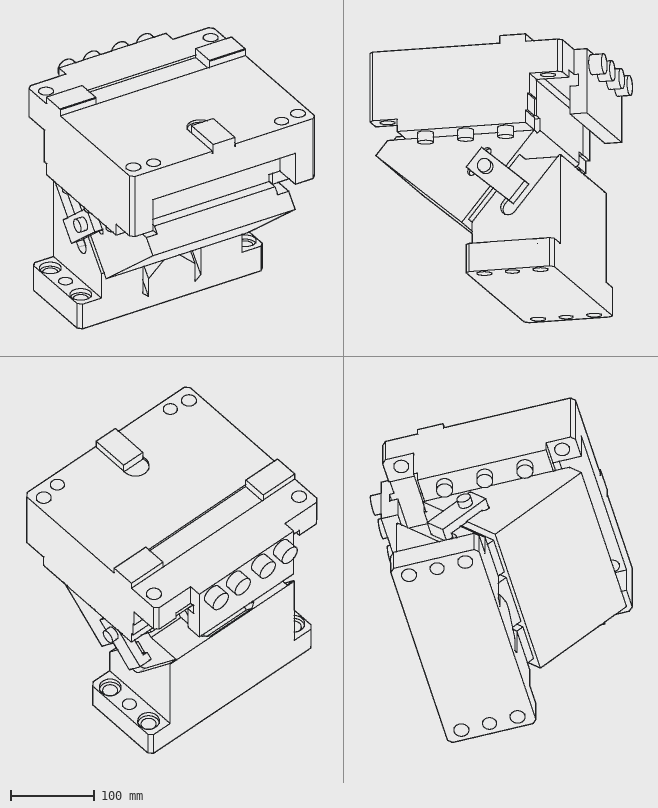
import cadquery as cq
import math

WIDTH = 260.0
CORNER_CHAMFER = 5.0
HALF_SLIDE = 100.0

BASE_LENGTH = 110.0
BASE_TOP = 145.0
BASE_HALF_WIDTH = 98.8
FLANGE_HEIGHT = 35.0
SLOPE_ANGLE = 50.0
SLOPE_FOOT_Z = 69.5
BASE_HOLE_Y = 115.5
BASE_HOLE_SPACING = 70.0
BASE_HOLE_RADIUS = 9.0
BASE_BORE_RADIUS = 13.0
BASE_BORE_DEPTH = 5.8
BASE_DOWEL_RADIUS = 8.5

CHANNEL_HALF_WIDTH = 40.7
CHANNEL_WALL_DEPTH = 30.0
CHANNEL_DEPTH = 34.7
VEE_HALF_WIDTH = 32.7
VEE_FLAT_HALF_WIDTH = 5.8
VEE_RIDGE_DEPTH = 3.0
VEE_ANGLE = 30.0
VEE_MALE_END = 111.8
VEE_FEMALE_END = 101.5

PLATE_THICKNESS = 9.8
PLATE_INNER_Y = 41.0
PLATE_OUTER_Y = 88.5

HOOK_S_MIN = 47.5
HOOK_S_MAX = 77.5
HOOK_N_MIN = -24.9
HOOK_N_MAX = 45.0
HOOK_OUTER_Y = 110.7
HOOK_TONGUE_Y = 92.8
HOOK_SLOT_WIDTH = 19.7
HOOK_SLOT_END = 41.0
SIDE_RECESS_Y = PLATE_OUTER_Y
RELIEF_RADIUS = 5.0
HOOK_PIN_RADIUS = 8.5
HOOK_PIN_S = 62.0
HOOK_PIN_N = 24.9
HOOK_PIN_END_Y = 120.0

SLIDE_FRONT_X = 29.8
SLIDE_OVERRUN = 8.0
SLIDE_TIP_X = 230.0
SHOULDER_Z = 177.2
NECK_HALF_WIDTH = 84.7
NECK_STEP_Z = 185.0
HEAD_BOTTOM_Z = 194.8
HEAD_TOP_Z = 238.7
RELIEF_NOTCH_INNER_Y = 19.5
RELIEF_NOTCH_TOP_Z = 158.7
RELIEF_NOTCH_FILLET = 3.0

HOLDER_FRONT_X = -10.0
HOLDER_END_X = 230.0
HOLDER_TOP_Z = 279.8
OVERHANG_Z = 240.0
OVERHANG_RECESS_Z = 248.8
OVERHANG_RECESS_HALF_WIDTH = 98.0
SIDE_STEP_Z = 215.5
SIDE_STEP_DEPTH = 2.3
RETAINER_START_X = 34.7
RETAINER_END_X = 194.8
RETAINER_BOTTOM_Z = 179.5
RETAINER_INNER_Y = 90.0
SCREW_BOTTOM_Z = 168.0
SCREW_RADIUS = 9.5
SCREW_Y = 114.2
SCREW_FIRST_X = 64.0
SCREW_PITCH = 50.0
SCREW_COUNT = 3

STOP_FRONT_X = -26.0
STOP_NECK_X = -15.5
STOP_FOOT_X = -5.2
STOP_BOTTOM_Z = 200.3
STOP_FOOT_TOP_Z = 234.7
STOP_HALF_WIDTH = 75.0
BOLT_END_X = -42.0
BOLT_RADIUS = 12.0
BOLT_Z = 264.7
BOLT_Y = (-55.0, -20.0, 20.0, 55.0)

KEY_TOP_Z = 289.0
KEYWAY_DEPTH = 3.5
CROSS_KEYWAY_START_X = RETAINER_START_X
CROSS_KEYWAY_END_X = 66.8
CROSS_KEY_CHAMFER = 1.0
CROSS_KEY_LENGTH = 50.3
END_KEY_START_X = 180.0
END_KEY_HALF_WIDTH = 15.3
END_KEYWAY_RADIUS = 16.2
END_KEYWAY_START_X = 159.5
MOUNT_HOLE_X = (10.5, 210.7)
MOUNT_HOLE_Y = 115.5
MOUNT_HOLE_RADIUS = 9.0
DOWEL_X = 215.3
DOWEL_Y = 90.0
DOWEL_RADIUS = 8.5

SIN = math.sin(math.radians(SLOPE_ANGLE))
COS = math.cos(math.radians(SLOPE_ANGLE))
SLOPE_LENGTH = (BASE_TOP - SLOPE_FOOT_Z) / SIN
VEE_SHOULDER_DEPTH = VEE_RIDGE_DEPTH + (
    (VEE_HALF_WIDTH - VEE_FLAT_HALF_WIDTH) * math.tan(math.radians(VEE_ANGLE))
)
FAR = 289.0


def block(x0, x1, y0, y1, z0, z1):
    """Box given by its limits along X, Y and Z."""
    return cq.Workplane().box(x1 - x0, y1 - y0, z1 - z0, centered=False).translate((x0, y0, z0))


def side_profile(points, y0, y1):
    """Closed XZ outline extruded from y0 to y1."""
    return cq.Workplane("XZ", origin=(0, y0, 0)).polyline(points).close().extrude(y0 - y1)


def on_slope(s, n):
    """XZ point a distance s up the sliding slope and a height n above it."""
    return (BASE_LENGTH - s * COS + n * SIN, SLOPE_FOOT_Z + s * SIN + n * COS)


def slope_block(s0, s1, n0, n1, y0, y1):
    """Box aligned with the sliding slope."""
    corners = [on_slope(s0, n0), on_slope(s1, n0), on_slope(s1, n1), on_slope(s0, n1)]
    return side_profile(corners, y0, y1)


def slope_cylinder(s, n, radius, y0, y1):
    """Cylinder along Y, centred on a slope point."""
    return cq.Workplane("XZ", origin=(0, y0, 0)).center(*on_slope(s, n)).circle(radius).extrude(y0 - y1)


def slope_section(half_outline, s0, s1):
    """(y, n) outline, mirrored about y = 0 and extruded along the slope from s0 to s1."""
    x, z = on_slope(s0, 0)
    plane = cq.Plane(origin=(x, 0, z), xDir=(0, -1, 0), normal=(-COS, 0, SIN))
    mirrored = [(-y, n) for y, n in reversed(half_outline)]
    return cq.Workplane(plane).polyline(half_outline + mirrored).close().extrude(s1 - s0)


def upright_cylinder(x, y, radius, z0, z1):
    return cq.Workplane("XY", origin=(x, y, z0)).circle(radius).extrude(z1 - z0)


def both_sides(shape):
    """The shape together with its mirror image about the XZ plane."""
    return shape.union(shape.mirror("XZ"))


def vee_male():
    outline = [
        (VEE_HALF_WIDTH, -CHANNEL_DEPTH),
        (VEE_HALF_WIDTH, -VEE_SHOULDER_DEPTH),
        (VEE_FLAT_HALF_WIDTH, -VEE_RIDGE_DEPTH),
    ]
    beyond_base = block(BASE_LENGTH, FAR, -FAR, FAR, -FAR, FAR)
    return slope_section(outline, -FAR / 2, VEE_MALE_END).cut(beyond_base)


def vee_channel():
    outline = [
        (VEE_HALF_WIDTH, -CHANNEL_DEPTH),
        (CHANNEL_HALF_WIDTH, -CHANNEL_WALL_DEPTH),
        (CHANNEL_HALF_WIDTH, FAR),
    ]
    return slope_section(outline, -FAR / 2, FAR)


def side_recess():
    """Recess in the -Y flank for the hook: open above the hook, a round-ended slot below it."""
    radius = HOOK_SLOT_WIDTH / 2
    slot_n = -CHANNEL_DEPTH + radius
    slot_top_n = -CHANNEL_DEPTH + HOOK_SLOT_WIDTH
    slot = slope_block(HOOK_SLOT_END, FAR, -CHANNEL_DEPTH, slot_top_n, -FAR, -SIDE_RECESS_Y)
    slot_end = slope_cylinder(HOOK_SLOT_END, slot_n, radius, -FAR, -SIDE_RECESS_Y)
    opening = slope_block(HOOK_PIN_S, FAR, slot_n, FAR, -FAR, -SIDE_RECESS_Y)
    return slot.union(slot_end).union(opening)


def make_base():
    half = WIDTH / 2
    flange = block(0, BASE_LENGTH, -half, half, 0, FLANGE_HEIGHT).edges("|Z").chamfer(CORNER_CHAMFER)
    outline = [(0, 0), (BASE_LENGTH, 0), on_slope(0, 0), on_slope(SLOPE_LENGTH, 0), (0, BASE_TOP)]
    body = side_profile(outline, -BASE_HALF_WIDTH, BASE_HALF_WIDTH).union(flange)
    body = body.cut(vee_channel()).union(vee_male())
    body = body.cut(both_sides(side_recess()))

    wear_plate = slope_block(0, SLOPE_LENGTH, 0, PLATE_THICKNESS, PLATE_INNER_Y, PLATE_OUTER_Y)
    body = body.union(both_sides(wear_plate))

    middle_x = BASE_LENGTH / 2
    bore_floor = FLANGE_HEIGHT - BASE_BORE_DEPTH
    for y in (-BASE_HOLE_Y, BASE_HOLE_Y):
        body = body.cut(upright_cylinder(middle_x, y, BASE_DOWEL_RADIUS, 0, FLANGE_HEIGHT))
        for x in (middle_x - BASE_HOLE_SPACING / 2, middle_x + BASE_HOLE_SPACING / 2):
            body = body.cut(upright_cylinder(x, y, BASE_HOLE_RADIUS, 0, FLANGE_HEIGHT))
            body = body.cut(upright_cylinder(x, y, BASE_BORE_RADIUS, bore_floor, FLANGE_HEIGHT))
    return body


def slide_body():
    """Wedge with a narrower neck and a tee head on top."""
    foot_x, foot_z = on_slope(-SLIDE_OVERRUN, PLATE_THICKNESS)
    tan = SIN / COS
    tip_z = foot_z + (SLIDE_TIP_X - foot_x) / tan
    front_z = foot_z + (foot_x - SLIDE_FRONT_X) * tan

    def end_x(z):
        return SLIDE_TIP_X - (z - tip_z) / tan

    outline = [
        (SLIDE_FRONT_X, front_z),
        (foot_x, foot_z),
        (SLIDE_TIP_X, tip_z),
        (end_x(NECK_STEP_Z), NECK_STEP_Z),
        (RETAINER_END_X, NECK_STEP_Z),
        (RETAINER_END_X, HEAD_TOP_Z),
        (SLIDE_FRONT_X, HEAD_TOP_Z),
    ]
    body = side_profile(outline, -HALF_SLIDE, HALF_SLIDE)
    neck_side = block(-FAR, FAR, NECK_HALF_WIDTH, FAR, SHOULDER_Z, HEAD_BOTTOM_Z)
    return body.cut(both_sides(neck_side))


def vee_female():
    outline = [
        (VEE_FLAT_HALF_WIDTH, -VEE_RIDGE_DEPTH),
        (VEE_HALF_WIDTH, -VEE_SHOULDER_DEPTH),
        (VEE_HALF_WIDTH, PLATE_THICKNESS),
    ]
    return slope_section(outline, 0, VEE_FEMALE_END)


def relief_notch():
    """Round-topped notch in the slide face, ending flush with the end of the female vee."""
    notch = block(0, BASE_LENGTH, RELIEF_NOTCH_INNER_Y, VEE_HALF_WIDTH, SLOPE_FOOT_Z, RELIEF_NOTCH_TOP_Z)
    notch = notch.edges("|X and >Z").fillet(RELIEF_NOTCH_FILLET)
    return notch.intersect(slope_block(VEE_FEMALE_END, FAR, -FAR, FAR, -FAR, FAR))


def hook_pocket_reliefs():
    n = HOOK_N_MAX - RELIEF_RADIUS
    reliefs = cq.Workplane()
    for s in (HOOK_S_MIN, HOOK_S_MAX):
        reliefs = reliefs.add(slope_cylinder(s, n, RELIEF_RADIUS, -FAR, -HOOK_TONGUE_Y))
    return reliefs.combine()


def return_hook():
    """Hook on the -Y side: outer plate, tongue under the base rail, foot in the slide, and its pin."""
    rail_n = HOOK_SLOT_WIDTH - CHANNEL_DEPTH
    span = (HOOK_S_MIN, HOOK_S_MAX)
    hook = slope_block(*span, HOOK_N_MIN, HOOK_N_MAX, -HOOK_OUTER_Y, -BASE_HALF_WIDTH)
    tongue = slope_block(*span, HOOK_N_MIN, rail_n, -BASE_HALF_WIDTH, -HOOK_TONGUE_Y)
    foot = slope_block(*span, PLATE_THICKNESS, HOOK_N_MAX, -BASE_HALF_WIDTH, -HOOK_TONGUE_Y)
    pin = slope_cylinder(HOOK_PIN_S, HOOK_PIN_N, HOOK_PIN_RADIUS, -HOOK_PIN_END_Y, -HOOK_OUTER_Y)
    return hook.union(tongue).union(foot).union(pin)


def make_slide():
    body = slide_body().union(vee_female())
    body = body.cut(both_sides(relief_notch()))
    body = body.cut(both_sides(hook_pocket_reliefs()))
    return body.union(both_sides(return_hook()))


def stop_bar():
    outline = [
        (STOP_FRONT_X, STOP_BOTTOM_Z),
        (STOP_FOOT_X, STOP_BOTTOM_Z),
        (STOP_FOOT_X, STOP_FOOT_TOP_Z),
        (STOP_NECK_X, STOP_FOOT_TOP_Z),
        (STOP_NECK_X, OVERHANG_RECESS_Z),
        (HOLDER_FRONT_X, OVERHANG_RECESS_Z),
        (HOLDER_FRONT_X, HOLDER_TOP_Z),
        (STOP_FRONT_X, HOLDER_TOP_Z),
    ]
    bar = side_profile(outline, -STOP_HALF_WIDTH, STOP_HALF_WIDTH)
    for y in BOLT_Y:
        bolt = cq.Workplane("YZ", origin=(BOLT_END_X, y, BOLT_Z)).circle(BOLT_RADIUS)
        bar = bar.union(bolt.extrude(STOP_FRONT_X - BOLT_END_X))
    return bar


def retainer():
    """Strip under the slide head on the -Y side, with its screw heads."""
    strip = block(
        RETAINER_START_X, RETAINER_END_X, -WIDTH / 2, -RETAINER_INNER_Y, RETAINER_BOTTOM_Z, HEAD_BOTTOM_Z
    )
    for i in range(SCREW_COUNT):
        x = SCREW_FIRST_X + i * SCREW_PITCH
        strip = strip.union(upright_cylinder(x, -SCREW_Y, SCREW_RADIUS, SCREW_BOTTOM_Z, RETAINER_BOTTOM_Z))
    return strip


def holder_body():
    half = WIDTH / 2
    body = block(HOLDER_FRONT_X, HOLDER_END_X, -half, half, HEAD_BOTTOM_Z, HOLDER_TOP_Z)
    body = body.edges("|Z").chamfer(CORNER_CHAMFER)
    below_overhang = block(-FAR, SLIDE_FRONT_X, -FAR, FAR, 0, OVERHANG_Z)
    overhang_recess = block(
        -FAR, SLIDE_FRONT_X, -OVERHANG_RECESS_HALF_WIDTH, OVERHANG_RECESS_HALF_WIDTH, 0, OVERHANG_RECESS_Z
    )
    head_channel = block(0, FAR, -HALF_SLIDE, HALF_SLIDE, 0, HEAD_TOP_Z)
    side_step = block(0, SLIDE_FRONT_X + SIDE_STEP_DEPTH, 0, FAR, 0, SIDE_STEP_Z)
    return body.cut(below_overhang).cut(overhang_recess).cut(head_channel).cut(side_step)


def add_keys(body):
    """Keyways in the top face and the keys standing in them."""
    half = WIDTH / 2
    floor = HOLDER_TOP_Z - KEYWAY_DEPTH
    body = body.cut(block(CROSS_KEYWAY_START_X, CROSS_KEYWAY_END_X, -half, half, floor, KEY_TOP_Z))
    key_y = half - CROSS_KEY_LENGTH
    cross_key = block(CROSS_KEYWAY_START_X, CROSS_KEYWAY_END_X, key_y, half, floor, KEY_TOP_Z)
    cross_key = cross_key.edges(">X and >Z").chamfer(CROSS_KEY_CHAMFER)
    body = body.union(both_sides(cross_key))

    round_x = END_KEYWAY_START_X + END_KEYWAY_RADIUS
    body = body.cut(upright_cylinder(round_x, 0, END_KEYWAY_RADIUS, floor, KEY_TOP_Z))
    body = body.cut(block(round_x, FAR, -END_KEYWAY_RADIUS, END_KEYWAY_RADIUS, floor, KEY_TOP_Z))
    end_key = block(
        END_KEY_START_X, HOLDER_END_X, -END_KEY_HALF_WIDTH, END_KEY_HALF_WIDTH, floor, KEY_TOP_Z
    )
    return body.union(end_key)


def make_holder():
    body = holder_body().union(stop_bar()).union(both_sides(retainer()))
    body = add_keys(body)
    for side in (-1, 1):
        body = body.cut(upright_cylinder(DOWEL_X, side * DOWEL_Y, DOWEL_RADIUS, 0, FAR))
        for x in MOUNT_HOLE_X:
            body = body.cut(upright_cylinder(x, side * MOUNT_HOLE_Y, MOUNT_HOLE_RADIUS, 0, FAR))
    return body


base = make_base()
slide = make_slide()
holder = make_holder()

result = cq.Compound.makeCompound([base.solids().val(), slide.solids().val(), holder.solids().val()])